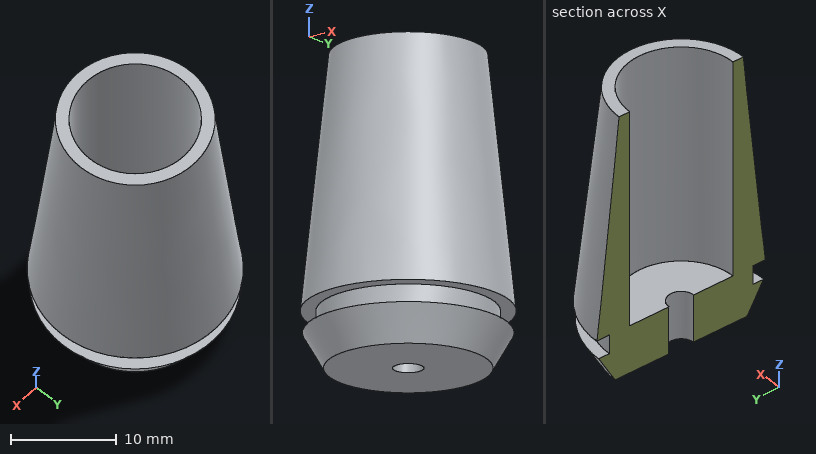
import cadquery as cq

total_height = 31.0
nose_height = 3.5
groove_width = 2.15
shoulder_height = nose_height + groove_width

nose_bottom_radius = 8.03
nose_top_radius = 10.05
groove_radius = 8.75
body_bottom_radius = 10.245
body_top_radius = 7.55

bore_radius = 6.25
bore_floor_height = shoulder_height
hole_radius = 1.5


def make_body():
    """Revolve the tapered body, retaining groove and flared nose."""
    profile = [
        (0, 0),
        (nose_bottom_radius, 0),
        (nose_top_radius, nose_height),
        (groove_radius, nose_height),
        (groove_radius, shoulder_height),
        (body_bottom_radius, shoulder_height),
        (body_top_radius, total_height),
        (0, total_height),
    ]
    return cq.Workplane("XZ").polyline(profile).close().revolve(360, (0, 0), (0, 1))


def make_cylinder(radius, bottom, top):
    """Vertical cylinder between two heights on the collet axis."""
    return cq.Workplane("XY").workplane(offset=bottom).circle(radius).extrude(top - bottom)


bore = make_cylinder(bore_radius, bore_floor_height, total_height)
through_hole = make_cylinder(hole_radius, 0, total_height)
result = make_body().cut(bore).cut(through_hole)